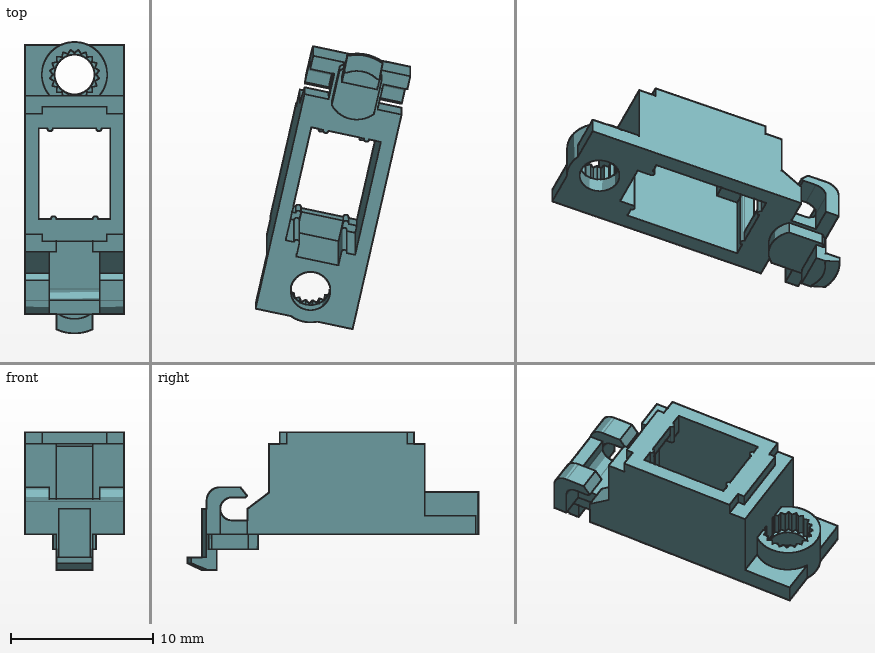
import cadquery as cq
import math


WIDTH = 7.0
LENGTH = 20.52
HEIGHT = 9.7
TOP = 7.18
BOTTOM = TOP - HEIGHT

BASE_BACK = 18.96
BASE_HEIGHT = 1.3
BOSS_RADIUS = 2.3
BOSS_HEIGHT = 2.98
BOSS_HOLE_DIAMETER = 2.8
SPLINE_TIP_RADIUS = 1.76
SPLINE_ROOT_RADIUS = 1.52
SPLINE_COUNT = 20

TOWER_FRONT = 4.4
TOWER_BACK = 15.37
SHOULDER_HEIGHT = 6.36
RAISED_BACK = 14.6
RAISED_FRONT = 5.15
RAISED_CORNER_STEP = 0.5
RAISED_MIDDLE_WIDTH = 4.51

CHEEK_FRONT = 2.87
CHEEK_SLOPE_TOP = 2.93
CHEEK_SLOPE_BOTTOM = 1.79
FLOOR_WIDTH = 3.53
FLOOR_HEIGHT = 0.98

OPENING_WIDTH = 5.0
OPENING_FRONT = 6.7
OPENING_BACK = 13.07
FRAME_UNDERSIDE = 5.62
POCKET_BACK = 13.6
FRONT_SLOT_WIDTH = 2.55
BACK_SLOT_WIDTH = 3.04
BACK_SLOT_TOP = 6.18
NIB_RADIUS = 0.195

HOOK_GAP_RADIUS = 0.8
HOOK_OUTER_RADIUS = 0.98
PLATE_THICKNESS = 0.98
PLATE_HEIGHT = 2.48
HOOK_TOP = 3.32
HOOK_TIP = 2.87
HOOK_TIP_HEIGHT = 2.7
HOOK_TIP_SLOPE = 0.5
HOOK_TIP_UNDERCUT = 0.15

PAD_RADIUS = 2.0
PAD_CENTRE = 1.66
PAD_WIDTH = 3.04
PAD_DEPTH = 1.07
TONGUE_WIDTH = 2.55
TONGUE_THICKNESS = 0.74
BULGE_TOP = 1.79
LIP_RADIUS = 3.02
LIP_TOP = -1.62
LIP_EDGE_BOTTOM = -2.03

LIP_FRONT = PAD_CENTRE - LIP_RADIUS
BOSS_CENTRE = LIP_FRONT + LENGTH - BOSS_RADIUS
HOOK_GAP_TOP = FLOOR_HEIGHT + 2 * HOOK_GAP_RADIUS
HOOK_GAP_CENTRE = PLATE_THICKNESS + HOOK_GAP_RADIUS
POCKET_FRONT = RAISED_FRONT
BACK_SLOT_END = RAISED_BACK


def block(width, front, back, bottom, top):
    """Box centred on X = 0 between two Y and two Z positions."""
    box = cq.Workplane("XY").box(width, back - front, top - bottom, centered=(True, False, False))
    return box.translate((0, front, bottom))


def cylinder(x, y, radius, bottom, top):
    """Upright cylinder."""
    return cq.Workplane("XY").workplane(offset=bottom).center(x, y).circle(radius).extrude(top - bottom)


def side_profile(width):
    """Sketch plane whose local axes are Y and Z, starting at X = -width / 2."""
    return cq.Workplane("YZ").workplane(offset=-width / 2)


def make_boss():
    """Round boss with a splined socket that ends level with the base plate."""
    boss = cylinder(0, BOSS_CENTRE, BOSS_RADIUS, 0, BOSS_HEIGHT)
    half_pitch = math.pi / SPLINE_COUNT
    points = []
    for i in range(2 * SPLINE_COUNT):
        radius = SPLINE_ROOT_RADIUS if i % 2 == 0 else SPLINE_TIP_RADIUS
        angle = math.pi / 2 + i * half_pitch
        points.append((radius * math.cos(angle), radius * math.sin(angle)))
    socket = cq.Workplane("XY").workplane(offset=BASE_HEIGHT).center(0, BOSS_CENTRE)
    return boss.cut(socket.polyline(points).close().extrude(BOSS_HEIGHT - BASE_HEIGHT))


def make_tower():
    """Tower with a raised top that is stepped back at its four corners."""
    tower = block(WIDTH, TOWER_FRONT, TOWER_BACK, 0, SHOULDER_HEIGHT)
    middle = block(RAISED_MIDDLE_WIDTH, RAISED_FRONT, RAISED_BACK, SHOULDER_HEIGHT, TOP)
    sides = block(
        WIDTH,
        RAISED_FRONT + RAISED_CORNER_STEP,
        RAISED_BACK - RAISED_CORNER_STEP,
        SHOULDER_HEIGHT,
        TOP,
    )
    return tower.union(middle).union(sides)


def make_cheeks():
    """Two sloped cheeks in front of the tower."""
    cheeks = (
        side_profile(WIDTH)
        .moveTo(TOWER_FRONT, 0)
        .lineTo(TOWER_FRONT, CHEEK_SLOPE_TOP)
        .lineTo(CHEEK_FRONT, CHEEK_SLOPE_BOTTOM)
        .lineTo(CHEEK_FRONT, 0)
        .close()
        .extrude(WIDTH)
    )
    return cheeks.cut(block(FLOOR_WIDTH, CHEEK_FRONT, TOWER_FRONT, 0, CHEEK_SLOPE_TOP))


def make_cavity():
    """Opening, pocket and end slots inside the tower, less the small round nibs."""
    cavity = block(OPENING_WIDTH, OPENING_FRONT, OPENING_BACK, 0, TOP)
    cavity = cavity.union(block(OPENING_WIDTH, POCKET_FRONT, POCKET_BACK, 0, FRAME_UNDERSIDE))
    front_slot = block(FRONT_SLOT_WIDTH, TOWER_FRONT, OPENING_FRONT, FLOOR_HEIGHT, SHOULDER_HEIGHT)
    back_slot = block(BACK_SLOT_WIDTH, OPENING_BACK, BACK_SLOT_END, 0, BACK_SLOT_TOP)
    cavity = cavity.union(front_slot).union(back_slot)

    front_nib_x = FRONT_SLOT_WIDTH / 2 + NIB_RADIUS
    back_nib_x = BACK_SLOT_WIDTH / 2 + NIB_RADIUS
    for side in (-1, 1):
        cavity = cavity.cut(cylinder(side * front_nib_x, OPENING_FRONT, NIB_RADIUS, FRAME_UNDERSIDE, TOP))
        cavity = cavity.cut(cylinder(side * front_nib_x, POCKET_FRONT, NIB_RADIUS, 0, FRAME_UNDERSIDE))
        cavity = cavity.cut(cylinder(side * back_nib_x, OPENING_BACK, NIB_RADIUS, FRAME_UNDERSIDE, TOP))
        cavity = cavity.cut(cylinder(side * back_nib_x, POCKET_BACK, NIB_RADIUS, 0, FRAME_UNDERSIDE))
    return cavity


def make_floor():
    """Floor between the cheeks, curving up into the hook plate."""
    return (
        side_profile(FLOOR_WIDTH)
        .moveTo(PLATE_THICKNESS, 0)
        .lineTo(POCKET_FRONT, 0)
        .lineTo(POCKET_FRONT, FLOOR_HEIGHT)
        .lineTo(HOOK_GAP_CENTRE, FLOOR_HEIGHT)
        .radiusArc((PLATE_THICKNESS, FLOOR_HEIGHT + HOOK_GAP_RADIUS), HOOK_GAP_RADIUS)
        .close()
        .extrude(FLOOR_WIDTH)
    )


def make_hooks():
    """Full-width hook plate, cut down in the middle to leave a hook at each side."""
    hooks = (
        side_profile(WIDTH)
        .lineTo(0, HOOK_TOP - HOOK_OUTER_RADIUS)
        .radiusArc((HOOK_OUTER_RADIUS, HOOK_TOP), HOOK_OUTER_RADIUS)
        .lineTo(HOOK_TIP - HOOK_TIP_SLOPE, HOOK_TOP)
        .lineTo(HOOK_TIP, HOOK_TIP_HEIGHT)
        .lineTo(HOOK_TIP - HOOK_TIP_UNDERCUT, HOOK_GAP_TOP)
        .lineTo(HOOK_GAP_CENTRE, HOOK_GAP_TOP)
        .radiusArc((PLATE_THICKNESS, HOOK_GAP_TOP - HOOK_GAP_RADIUS), -HOOK_GAP_RADIUS)
        .lineTo(PLATE_THICKNESS, 0)
        .close()
        .extrude(WIDTH)
    )
    hooks = hooks.cut(block(FLOOR_WIDTH, 0, HOOK_TIP, PLATE_HEIGHT, HOOK_TOP))
    return hooks.cut(block(FLOOR_WIDTH, PLATE_THICKNESS, HOOK_TIP, 0, HOOK_TOP))


def make_latch():
    """Pad below the floor and the tongue with its bulged front and tapered lip."""
    pad = cylinder(0, PAD_CENTRE, PAD_RADIUS, -PAD_DEPTH, 0)
    pad = pad.intersect(block(PAD_WIDTH, 0, PAD_CENTRE + PAD_RADIUS, -PAD_DEPTH, 0))
    bulge = cylinder(0, PAD_CENTRE, PAD_RADIUS, LIP_TOP, BULGE_TOP)
    bulge = bulge.intersect(block(TONGUE_WIDTH, LIP_FRONT, TONGUE_THICKNESS, BOTTOM, BULGE_TOP))
    tongue = block(TONGUE_WIDTH, 0, TONGUE_THICKNESS, BOTTOM, 0)
    lip = (
        cq.Workplane("XZ")
        .moveTo(0, BOTTOM)
        .lineTo(PAD_RADIUS, BOTTOM)
        .lineTo(LIP_RADIUS, LIP_EDGE_BOTTOM)
        .lineTo(LIP_RADIUS, LIP_TOP)
        .lineTo(0, LIP_TOP)
        .close()
        .revolve(360, (0, 0, 0), (0, 1, 0))
        .translate((0, PAD_CENTRE, 0))
    )
    lip = lip.intersect(block(TONGUE_WIDTH, LIP_FRONT, TONGUE_THICKNESS, BOTTOM, LIP_TOP))
    return pad.union(bulge).union(tongue).union(lip)


base = block(WIDTH, TOWER_FRONT, BASE_BACK, 0, BASE_HEIGHT).union(make_boss())
base = base.cut(cylinder(0, BOSS_CENTRE, BOSS_HOLE_DIAMETER / 2, 0, BOSS_HEIGHT))

result = (
    base.union(make_tower())
    .union(make_cheeks())
    .cut(make_cavity())
    .union(make_floor())
    .union(make_hooks())
    .union(make_latch())
)